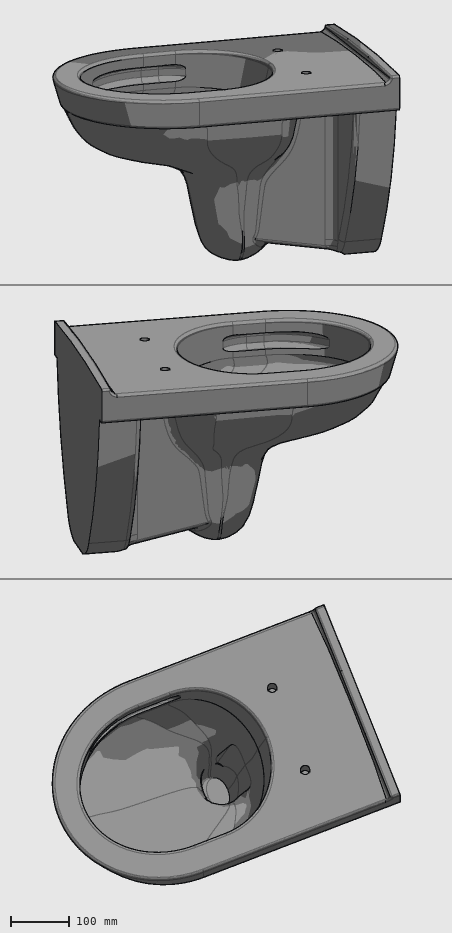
import cadquery as cq


HALF_WIDTH = 179.93
HEIGHT = 357.36

BAND_BOTTOM = 289.0
RIM_TOP = 339.5
DECK_BACK_RISE = 3.5
DECK_FRONT_RISE = 0.3
STRAIGHT_END = 363.0
BAND_FRONT_BOTTOM = 546.0
BAND_FRONT_TOP = 561.65
RIM_EDGE_RADIUS = 5.0
BAND_BOTTOM_RADIUS = 4.0
OVERLAP = 1.0
MARGIN = 10.0

LIP_BASE = RIM_TOP - MARGIN
LIP_SIDE_TOP = 351.0
LIP_DEPTH = 17.0
LIP_TOE_DEPTH = 27.0
LIP_TOE_HEIGHT = 8.0
LIP_TOE_SAG = 3.0
LIP_FRONT_RADIUS = 3.0
LIP_SIDE_RADIUS = 4.0

HINGE_HOLE_DIAMETER = 16.0
HINGE_HOLE_X = 77.5
HINGE_HOLE_FROM_WALL = 135.5
HINGE_HOLE_DEPTH = 40.0

BODY_TOP = BAND_BOTTOM + OVERLAP
PLATE_DEPTH = 75.0
PLATE_TOP = (162.0, BODY_TOP)
PLATE_MID = (129.0, 143.0)
PLATE_CORNER = (80.0, 35.0)
PLATE_CORNER_MID = (62.0, 13.0)
PLATE_FOOT = (34.0, 0.0)
PLATE_EDGE_RADIUS = 9.0
PLATE_FOOT_DEPTH = 52.0

WEB_HALF_WIDTH = 51.0
WEB_FOOT_START = (60.0, 10.0)
WEB_FOOT_END = (235.0, 42.5)
WEB_TOP_DEPTH = 165.0
WEB_EDGE_RADIUS = 7.0
WEB_ROOT_RADIUS = 18.0
WEB_BOWL_RADIUS = 18.0

BOWL_OUTSIDE = [
    (BODY_TOP, 162, 147, 200, 350, 546),
    (254, 154, 149, 205, 340, 527),
    (227, 138, 154, 208, 325, 504),
    (205, 112, 160, 212, 300, 462),
    (188, 87, 166, 222, 275, 393),
    (170, 72, 173, 235, 260, 345),
    (150, 63, 180, 238, 256, 328),
    (120, 60, 182, 240, 252, 320),
    (90, 58, 180, 242, 250, 314),
    (58, 55, 177, 240, 244, 307),
    (34, 50, 180, 238, 242, 299),
    (11, 37, 203, 238, 242, 278),
    (0, 10, 229, 238, 242, 251),
]
OPENING_OVAL = (130, 178, 303, 361, 513)
RIM_WALL_FOOT = 275.0
RIM_WALL_FOOT_OVAL = (130, 192, 303, 361, 513)
RIM_WALL = [
    (RIM_TOP + MARGIN, *OPENING_OVAL),
    (RIM_TOP - RIM_EDGE_RADIUS, *OPENING_OVAL),
    (RIM_WALL_FOOT, *RIM_WALL_FOOT_OVAL),
]
OPENING_EDGE_RADIUS = 5.0
BOWL_INSIDE = [
    (RIM_WALL_FOOT + OVERLAP, *RIM_WALL_FOOT_OVAL),
    (245, 124, 197, 295, 350, 500),
    (215, 100, 203, 275, 320, 457),
    (195, 74, 210, 262, 285, 385),
    (175, 55, 218, 258, 266, 325),
    (150, 46, 225, 260, 264, 305),
    (110, 43, 232, 262, 266, 298),
    (60, 39, 240, 264, 268, 292),
    (35, 28, 248, 265, 267, 284),
]
SUMP_CHANNEL = [
    (272, 42, 194, 206, 240, 260),
    (80, 41, 240, 252, 268, 294),
]

GROOVE_OVAL = (143, 228, 330, 361, 500)
GROOVE_BOTTOM = 287.0
GROOVE_TOP = 317.0
GROOVE_ROUND = 9.0


def oval(height, half_width, back, back_centre, front_centre, front):
    """Closed outline: half ellipses at back and front, straight sides between."""
    back_length = back_centre - back
    front_length = front - front_centre
    return (
        cq.Workplane("XY", origin=(0, 0, height))
        .moveTo(half_width, -front_centre)
        .lineTo(half_width, -back_centre)
        .ellipseArc(half_width, back_length, 0, 90, startAtCurrent=True)
        .ellipseArc(half_width, back_length, 90, 180, startAtCurrent=True)
        .lineTo(-half_width, -front_centre)
        .ellipseArc(half_width, front_length, 180, 270, startAtCurrent=True)
        .ellipseArc(half_width, front_length, 270, 360, startAtCurrent=True)
        .close()
    )


def loft(outlines, ruled):
    wires = [outline.wires().val() for outline in outlines]
    return cq.Workplane("XY").add(cq.Solid.makeLoft(wires, ruled))


def loft_ovals(sections, ruled=False):
    return loft([oval(*section) for section in sections], ruled)


def rounded_front(height, front):
    """Straight back and sides, closed by a half ellipse in front."""
    return (
        cq.Workplane("XY", origin=(0, 0, height))
        .moveTo(-HALF_WIDTH, -STRAIGHT_END)
        .ellipseArc(HALF_WIDTH, front - STRAIGHT_END, 180, 360, startAtCurrent=True)
        .lineTo(HALF_WIDTH, 0)
        .lineTo(-HALF_WIDTH, 0)
        .close()
    )


def crowned_outline(depth, bottom, half_width, side_top, centre_top):
    """Upright outline across the part whose top edge is an arc."""
    return (
        cq.Workplane("XZ", origin=(0, -depth, 0))
        .moveTo(-half_width, bottom)
        .lineTo(half_width, bottom)
        .lineTo(half_width, side_top)
        .threePointArc((0, centre_top), (-half_width, side_top))
        .close()
    )


def make_band():
    """Solid rim band with its crowned deck and rounded outer edges."""
    lean = (BAND_FRONT_TOP - BAND_FRONT_BOTTOM) / (RIM_TOP - BAND_BOTTOM)
    blank_front = BAND_FRONT_TOP + lean * MARGIN
    blank = loft(
        [rounded_front(BAND_BOTTOM, BAND_FRONT_BOTTOM), rounded_front(RIM_TOP + MARGIN, blank_front)],
        ruled=True,
    )
    bottom = BAND_BOTTOM - MARGIN
    half_width = HALF_WIDTH + MARGIN
    deck = loft(
        [
            crowned_outline(-MARGIN, bottom, half_width, RIM_TOP, RIM_TOP + DECK_BACK_RISE),
            crowned_outline(blank_front, bottom, half_width, RIM_TOP, RIM_TOP + DECK_FRONT_RISE),
        ],
        ruled=True,
    )
    band = blank.intersect(deck)
    band = band.faces("<Z").edges("not >Y").fillet(BAND_BOTTOM_RADIUS)
    deck_edges = [edge for edge in band.edges().vals() if is_deck_edge(edge)]
    return band.newObject(deck_edges).fillet(RIM_EDGE_RADIUS)


def is_deck_edge(edge):
    box = edge.BoundingBox()
    return box.zmin > RIM_TOP - RIM_EDGE_RADIUS / 2 and box.ymin < -LIP_TOE_DEPTH


def cut_opening(part):
    """Cut the opening down to the foot of the rim wall and round its top edge."""
    part = part.cut(loft_ovals(RIM_WALL, ruled=True))
    half_width, back, _, _, front = OPENING_OVAL
    edges = []
    for edge in part.edges().vals():
        box = edge.BoundingBox()
        inside_x = max(abs(box.xmin), abs(box.xmax)) < half_width + OVERLAP
        inside_y = -front - OVERLAP < box.ymin and box.ymax < -back + OVERLAP
        if inside_x and inside_y and is_deck_edge(edge):
            edges.append(edge)
    return part.newObject(edges).fillet(OPENING_EDGE_RADIUS)


def make_lip():
    """Lip along the wall: crowned across X, with a hollow toe running into the deck."""
    above = HEIGHT + MARGIN
    hollow = (-LIP_DEPTH - LIP_TOE_SAG, RIM_TOP + LIP_TOE_SAG)
    profile = (
        cq.Workplane("YZ")
        .moveTo(0, LIP_BASE)
        .lineTo(0, above)
        .lineTo(-LIP_DEPTH, above)
        .lineTo(-LIP_DEPTH, RIM_TOP + LIP_TOE_HEIGHT)
        .threePointArc(hollow, (-LIP_TOE_DEPTH, RIM_TOP))
        .lineTo(-LIP_TOE_DEPTH, LIP_BASE)
        .close()
        .extrude(HALF_WIDTH, both=True)
    )
    crown = crowned_outline(0, LIP_BASE - MARGIN, HALF_WIDTH, LIP_SIDE_TOP, HEIGHT)
    crown = crown.extrude(LIP_TOE_DEPTH + MARGIN)
    lip = profile.intersect(crown)
    lip = lip.edges(">Z").edges("<Y").fillet(LIP_FRONT_RADIUS)
    side_edges = []
    for edge in lip.edges().vals():
        centre = edge.Center()
        on_side = abs(centre.x) > HALF_WIDTH - OVERLAP
        if on_side and centre.z > RIM_TOP + OVERLAP and centre.y < -OVERLAP:
            side_edges.append(edge)
    return lip.newObject(side_edges).fillet(LIP_SIDE_RADIUS)


def mirrored(point):
    return (-point[0], point[1])


def make_plate():
    plate = (
        cq.Workplane("XZ")
        .moveTo(*mirrored(PLATE_FOOT))
        .lineTo(*PLATE_FOOT)
        .threePointArc(PLATE_CORNER_MID, PLATE_CORNER)
        .threePointArc(PLATE_MID, PLATE_TOP)
        .lineTo(*mirrored(PLATE_TOP))
        .threePointArc(mirrored(PLATE_MID), mirrored(PLATE_CORNER))
        .threePointArc(mirrored(PLATE_CORNER_MID), mirrored(PLATE_FOOT))
        .close()
        .extrude(PLATE_DEPTH)
    )
    return plate.faces("<Y").edges("not >Z").fillet(PLATE_EDGE_RADIUS)


def make_web():
    web = (
        cq.Workplane("YZ")
        .moveTo(-WEB_FOOT_START[0], BODY_TOP)
        .lineTo(-WEB_FOOT_START[0], WEB_FOOT_START[1])
        .lineTo(-WEB_FOOT_END[0], WEB_FOOT_END[1])
        .lineTo(-WEB_TOP_DEPTH, BODY_TOP)
        .close()
        .extrude(WEB_HALF_WIDTH, both=True)
    )
    return web.faces("<Z").edges("not |X").fillet(WEB_EDGE_RADIUS)


def web_foot_height(depth):
    run = WEB_FOOT_END[0] - WEB_FOOT_START[0]
    rise = WEB_FOOT_END[1] - WEB_FOOT_START[1]
    return WEB_FOOT_START[1] + (depth - WEB_FOOT_START[0]) * rise / run


def make_foot_trim():
    """Wedge below the web that bevels the plate foot and trims the root hollows."""
    bevel_end = PLATE_DEPTH - PLATE_EDGE_RADIUS
    front = PLATE_DEPTH + WEB_ROOT_RADIUS + OVERLAP
    return (
        cq.Workplane("YZ")
        .moveTo(-PLATE_FOOT_DEPTH, 0)
        .lineTo(-front, 0)
        .lineTo(-front, web_foot_height(front))
        .lineTo(-bevel_end, web_foot_height(bevel_end))
        .close()
        .extrude(HALF_WIDTH, both=True)
    )


def make_body():
    """Wall plate, web and the outside of bowl and trap."""
    support = make_plate().union(make_web())
    support = support.edges("|Z").fillet(WEB_ROOT_RADIUS).cut(make_foot_trim())
    body = support.union(loft_ovals(BOWL_OUTSIDE))
    hollow_end = PLATE_DEPTH + WEB_ROOT_RADIUS + OVERLAP
    seams = []
    for edge in body.edges().vals():
        centre = edge.Center()
        on_web_side = abs(abs(centre.x) - WEB_HALF_WIDTH) < OVERLAP
        beside_bowl = -WEB_FOOT_END[0] < centre.y < -hollow_end
        full_height = edge.BoundingBox().zlen > BODY_TOP / 2
        if on_web_side and beside_bowl and full_height:
            seams.append(edge)
    return body.newObject(seams).fillet(WEB_BOWL_RADIUS)


def make_groove():
    """Cutting body of the flushing groove."""
    groove = oval(GROOVE_BOTTOM, *GROOVE_OVAL).extrude(GROOVE_TOP - GROOVE_BOTTOM)
    return groove.edges("<Z or >Z").fillet(GROOVE_ROUND)


def make_hinge_holes():
    """Cutting body of the two blind seat hinge holes."""
    return (
        cq.Workplane("XY", origin=(0, -HINGE_HOLE_FROM_WALL, RIM_TOP - HINGE_HOLE_DEPTH))
        .pushPoints([(-HINGE_HOLE_X, 0), (HINGE_HOLE_X, 0)])
        .circle(HINGE_HOLE_DIAMETER / 2)
        .extrude(HINGE_HOLE_DEPTH + MARGIN)
    )


result = make_band().union(make_lip()).union(make_body())
result = cut_opening(result)
result = result.cut(loft_ovals(BOWL_INSIDE))
result = result.cut(loft_ovals(SUMP_CHANNEL))
result = result.cut(make_groove())
result = result.cut(make_hinge_holes())